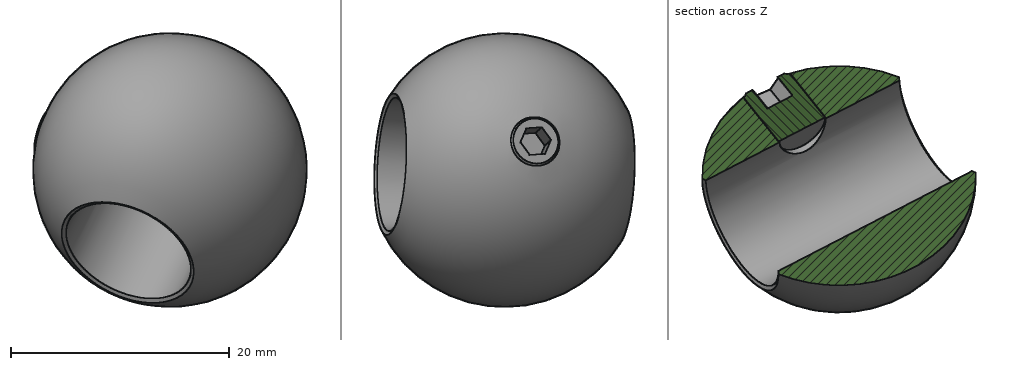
import cadquery as cq
import math

ball_diameter = 25.0
ball_width = 21.4
bore_diameter = 12.2
mouth_depth = 0.2

screw_diameter = 5.0
screw_face_diameter = 4.2
screw_face_x = -12.48
screw_length = 6.25
screw_chamfer = (screw_diameter - screw_face_diameter) / 2

socket_across_flats = 2.5
socket_depth = 2.5
socket_turn = -7.0
socket_across_corners = socket_across_flats / math.cos(math.radians(30))


def screw_blank(length):
    """Chamfered cylinder running from the screw face toward +X."""
    return (
        cq.Workplane("YZ", origin=(screw_face_x, 0, 0))
        .circle(screw_diameter / 2)
        .extrude(length)
        .faces("<X")
        .chamfer(screw_chamfer)
    )


def make_ball():
    half_width = ball_width / 2
    mouth_radius = math.sqrt((ball_diameter / 2) ** 2 - half_width ** 2)
    ball = (
        cq.Workplane("XY")
        .moveTo(bore_diameter / 2, mouth_depth - half_width)
        .lineTo(mouth_radius, -half_width)
        .threePointArc((ball_diameter / 2, 0), (mouth_radius, half_width))
        .lineTo(bore_diameter / 2, half_width - mouth_depth)
        .close()
        .revolve(360, (0, 0, 0), (0, 1, 0))
    )
    screw_hole = screw_blank(-screw_face_x)
    face_clearing = (
        cq.Workplane("YZ", origin=(-ball_diameter / 2, 0, 0))
        .circle(screw_face_diameter / 2)
        .extrude(ball_diameter / 2 + screw_face_x)
    )
    return ball.cut(screw_hole).cut(face_clearing)


def make_set_screw():
    socket = (
        cq.Workplane("YZ", origin=(screw_face_x, 0, 0))
        .polygon(6, socket_across_corners)
        .extrude(socket_depth)
        .rotate((0, 0, 0), (1, 0, 0), socket_turn)
    )
    return screw_blank(screw_length).cut(socket)


ball = make_ball()
set_screw = make_set_screw()

result = cq.Compound.makeCompound([ball.val(), set_screw.val()])